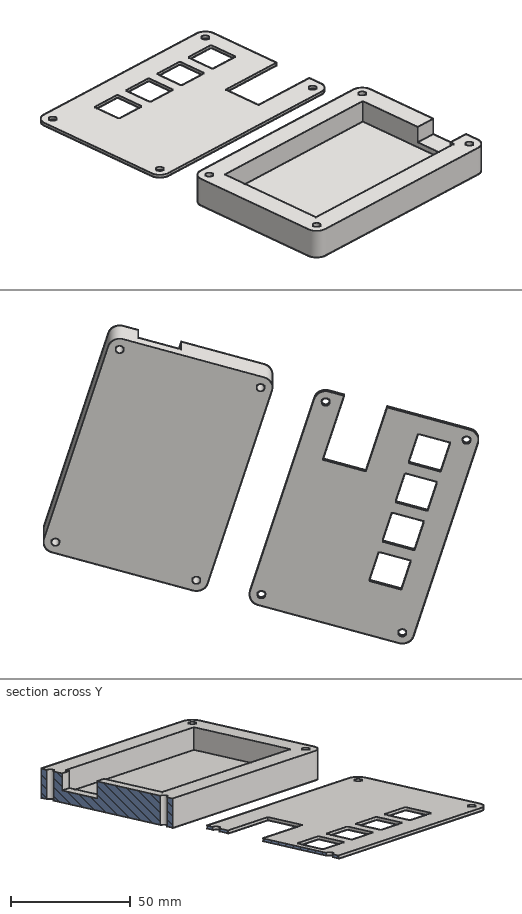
import cadquery as cq

total_length = 161.5
body_width = 71.5
body_depth = 103.4
corner_radius = 5.0
body_offset = total_length - body_width

screw_hole_diameter = 3.4
hole_pitch_x = body_width - 2 * corner_radius
hole_pitch_y = body_depth - 2 * corner_radius

case_height = 13.0
pocket_width = 52.3
pocket_depth = 84.3
end_wall = (body_depth - pocket_depth) / 2
pocket_floor = 3.0
slot_floor = 5.5

plate_thickness = 1.5
plate_bottom = 3.0
notch_depth = 31.0

slot_width = 18.7
slot_to_edge = 11.6
slot_x = body_width / 2 - slot_to_edge - slot_width / 2

key_count = 4
key_size = 14.0
key_corner_radius = 0.5
key_pitch = 19.0
key_to_side = 11.1
key_x = -body_width / 2 + key_to_side + key_size / 2
key_to_end = 8.0
first_key_y = body_depth / 2 - key_to_end - key_size / 2


def drilled_slab(height):
    """Rounded slab standing on Z = 0, with a screw hole through each corner."""
    return (
        cq.Workplane("XY")
        .rect(body_width, body_depth)
        .extrude(height)
        .edges("|Z")
        .fillet(corner_radius)
        .faces(">Z")
        .workplane(origin=(0, 0, height))
        .rect(hole_pitch_x, hole_pitch_y, forConstruction=True)
        .vertices()
        .hole(screw_hole_diameter)
    )


def edge_slot(depth, floor, height):
    """Cutter for a slot running in from the +Y side, from the floor up to the height."""
    return (
        cq.Workplane("XY", origin=(slot_x, body_depth / 2 - depth / 2, floor))
        .rect(slot_width, depth)
        .extrude(height - floor)
    )


def make_plate():
    """Cover plate with four key openings and a notch in the +Y side."""
    key_centres = [(key_x, first_key_y - i * key_pitch) for i in range(key_count)]
    keys = (
        cq.Workplane("XY")
        .pushPoints(key_centres)
        .rect(key_size, key_size)
        .extrude(plate_thickness)
        .edges("|Z")
        .fillet(key_corner_radius)
    )
    notch = edge_slot(notch_depth, 0, plate_thickness)
    return drilled_slab(plate_thickness).cut(keys).cut(notch)


def make_case():
    """Open-topped case with a rectangular pocket and a slot through the +Y wall."""
    pocket = (
        cq.Workplane("XY", origin=(0, 0, pocket_floor))
        .rect(pocket_width, pocket_depth)
        .extrude(case_height - pocket_floor)
    )
    wall_slot = edge_slot(end_wall, slot_floor, case_height)
    return drilled_slab(case_height).cut(pocket).cut(wall_slot)


plate = make_plate().translate((0, 0, plate_bottom))
case = make_case().translate((body_offset, 0, 0))

result = cq.Compound.makeCompound([plate.val(), case.val()])